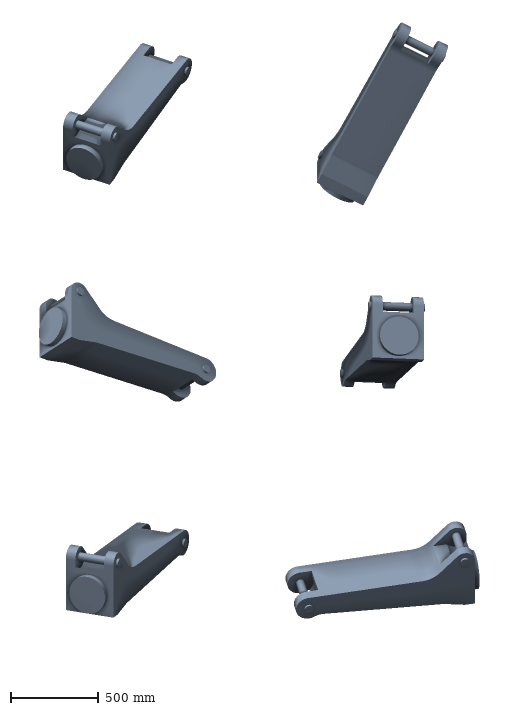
import cadquery as cq
import math

overall_length = 1084.92
overall_height = 377.44
body_width = 300.0
slot_width = 180.0

boss_diameter = 225.0
boss_depth = 35.0
boss_height = 127.0

pin_diameter = 50.0
pin_length = 325.0
front_lug_radius = 60.0
rear_lug_radius = 75.0
front_pivot = (front_lug_radius, overall_height - front_lug_radius)
rear_pivot = (overall_length - boss_depth - rear_lug_radius, 123.0)

front_slope_angle = math.radians(45.0)
top_slope_angle = math.radians(1.3)
upper_fillet_radius = 150.0
top_edge_setback = 10.5
foot_length = 60.0
underside_knee = (182.0, 26.0)
underside_angle = math.radians(3.35)
lower_fillet_radius = 100.0

front_clearance_radius = 75.0
rear_clearance_radius = 80.0
front_slot_floor = 266.0
rear_slot_depth = 67.5


def along(point, direction, distance):
    """Point reached by moving a distance along a unit direction."""
    return (point[0] + distance * direction[0], point[1] + distance * direction[1])


def dot(a, b):
    return a[0] * b[0] + a[1] * b[1]


def polar(angle):
    """Unit vector tilted from +Z towards +Y by the angle."""
    return (math.sin(angle), math.cos(angle))


def lines_crossing(normal_a, offset_a, normal_b, offset_b):
    """Crossing point of two lines, each given by its unit normal and distance from the origin."""
    determinant = normal_a[0] * normal_b[1] - normal_a[1] * normal_b[0]
    y = (offset_a * normal_b[1] - offset_b * normal_a[1]) / determinant
    z = (normal_a[0] * offset_b - normal_b[0] * offset_a) / determinant
    return (y, z)


def make_arm():
    slope_normal = polar(front_slope_angle)
    top_normal = polar(top_slope_angle)
    underside_normal = (math.sin(underside_angle), -math.cos(underside_angle))
    underside_direction = (math.cos(underside_angle), math.sin(underside_angle))

    top_edge = along(rear_pivot, polar(math.asin(top_edge_setback / rear_lug_radius)), rear_lug_radius)

    upper_center = lines_crossing(
        slope_normal,
        dot(slope_normal, front_pivot) + front_lug_radius + upper_fillet_radius,
        top_normal,
        dot(top_normal, top_edge) + upper_fillet_radius,
    )
    upper_middle = polar((front_slope_angle + top_slope_angle) / 2)

    knee_from_pivot = (underside_knee[0] - rear_pivot[0], underside_knee[1] - rear_pivot[1])
    center_drop = dot(underside_normal, knee_from_pivot) + lower_fillet_radius
    center_distance = rear_lug_radius + lower_fillet_radius
    center_setback = math.sqrt(center_distance**2 - center_drop**2)
    lower_center = along(
        along(rear_pivot, underside_normal, center_drop), underside_direction, -center_setback
    )
    to_lug = (
        (rear_pivot[0] - lower_center[0]) / center_distance,
        (rear_pivot[1] - lower_center[1]) / center_distance,
    )
    lug_angle = math.atan2(to_lug[0], to_lug[1])
    lower_middle = polar((lug_angle - underside_angle) / 2)

    return (
        cq.Workplane("YZ")
        .moveTo(0, 0)
        .lineTo(0, front_pivot[1])
        .threePointArc(
            along(front_pivot, polar(0), front_lug_radius),
            along(front_pivot, slope_normal, front_lug_radius),
        )
        .lineTo(*along(upper_center, slope_normal, -upper_fillet_radius))
        .threePointArc(
            along(upper_center, upper_middle, -upper_fillet_radius),
            along(upper_center, top_normal, -upper_fillet_radius),
        )
        .lineTo(*top_edge)
        .threePointArc(
            (rear_pivot[0] + rear_lug_radius, rear_pivot[1]),
            along(lower_center, to_lug, lower_fillet_radius),
        )
        .threePointArc(
            along(lower_center, lower_middle, lower_fillet_radius),
            along(lower_center, underside_normal, -lower_fillet_radius),
        )
        .lineTo(*underside_knee)
        .lineTo(foot_length, 0)
        .close()
        .extrude(body_width / 2, both=True)
    )


def cross_cylinder(center, radius, length):
    """Cylinder along X, centred on the middle plane."""
    start = cq.Workplane("YZ").workplane(offset=-length / 2)
    return start.center(*center).circle(radius).extrude(length)


def slot_block(corner_y, corner_z):
    """Block as wide as the slots, reaching back and up from its lower front edge."""
    return (
        cq.Workplane("XY")
        .box(slot_width, overall_length, overall_height, centered=(True, False, False))
        .translate((0, corner_y, corner_z))
    )


def make_front_slot():
    """Flat floor behind the front pivot, with a round clearance about the pivot."""
    floor_cut = slot_block(front_pivot[0], front_slot_floor)
    return floor_cut.union(cross_cylinder(front_pivot, front_clearance_radius, slot_width))


def make_rear_slot():
    """Upright wall in the upper half, with a round clearance about the rear pivot."""
    wall_cut = slot_block(rear_pivot[0] - rear_slot_depth, rear_pivot[1])
    return wall_cut.union(cross_cylinder(rear_pivot, rear_clearance_radius, slot_width))


def make_boss():
    return (
        cq.Workplane("XZ")
        .center(0, boss_height)
        .circle(boss_diameter / 2)
        .extrude(boss_depth)
    )


result = make_arm().cut(make_front_slot()).cut(make_rear_slot()).union(make_boss())
for pivot in (front_pivot, rear_pivot):
    result = result.union(cross_cylinder(pivot, pin_diameter / 2, pin_length))